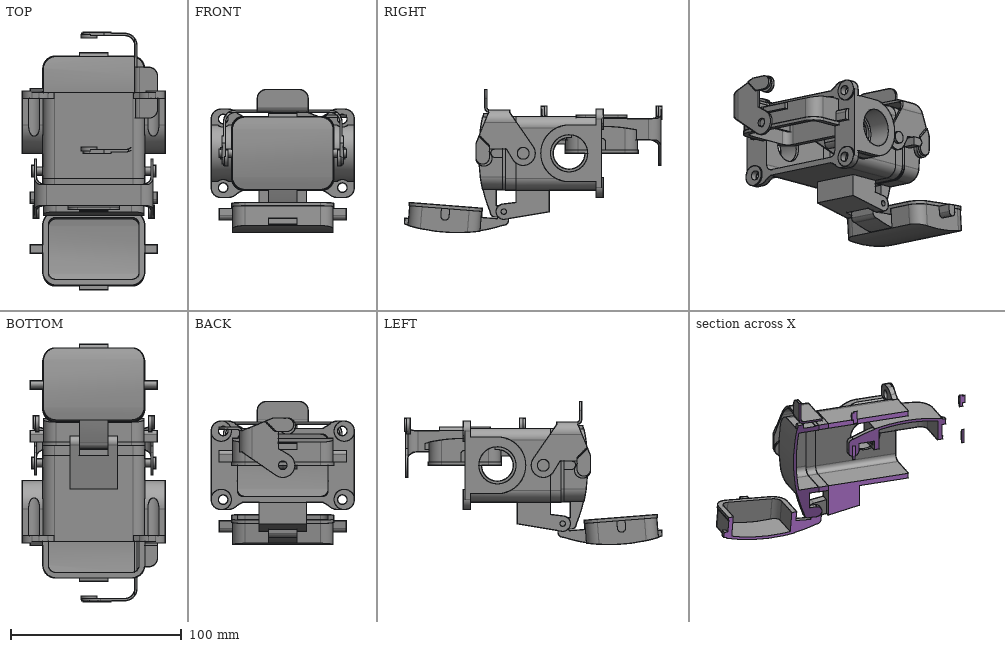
import cadquery as cq
import math


body_width = 59.8
body_height = 43.4
body_corner = 7.0
wall = 3.3
cut_margin = 1.5
housing_length = 50.2
overall_width = 84.0
half_width = overall_width / 2
entry_y = -19.0
entry_radius = 16.6
gland_bore = 21.8
gland_bore_depth = 13.6
entry_hole = 18.5

plate_thickness = 3.3
plate_half_height = 26.0
lug_diameter = 12.0
lug_radius = lug_diameter / 2
lug_standoff = 0.98
lug_x = half_width - lug_radius
lug_z = plate_half_height - lug_radius
lug_flat_end_x = 32.2
lug_arc_end = (26.7, 23.5)
lug_root = (23.0, 21.5)
mount_hole = 5.5
mount_x = 34.9
mount_z = 20.1
screw_clearance = 9.5

bracket_width = 28.0
bracket_rear_y = -30.5
bracket_bottom_z = -34.3
bracket_top_z = -28.7
hinge_y = -57.3
hinge_z = -34.2
hinge_radius = 4.5
hinge_hole = 3.2
hinge_slope = 9.8

pivot_y = -46.0
pivot_shaft = 5.0
pivot_head = 7.0
pivot_half_length = 36.4

frame_length = 6.0
mouth_y = -(housing_length + frame_length)

lid_width = body_width
lid_depth = 43.0
lid_corner = 7.7
rim_height = 2.0
rim_step = 0.38
crown_height = 15.9
crown_radius = 99.7
roof = 2.0
strip_width = 16.9
strip_radius = 90.7
tab_tip = 23.4
tab_bottom = 9.4
ear_span = 74.5
ear_diameter = 4.8
ear_top = 8.8
arm_underside = 5.5
arm_inner_end = -30.7
arm_outer_end = -37.3
arm_corner_start = 6.6
arm_corner_mid = (-36.4, 8.3)
arm_corner_end = -34.5
open_angle = 85.5

sheet = 1.44
lever_width = 69.7
lever_half_width = lever_width / 2
bail_top = 25.4
bail_bend = 7.3
bail_rear = -7.9
bail_front = -20.2
pivot_eye_radius = 7.1
notch_rear = -9.8
notch_top = 2.5
foot_rear = -19.8
foot_front = -27.7
foot_front_z = 5.9
foot_centre_z = -2.4
foot_top_z = 4.7
foot_ramp = 0.6
foot_step = 0.68
button_diameter = 9.5
button_y = -23.0
button_z = -2.7
button_gap = 63.9
button_thickness = 2.1
handle_width = 29.9
handle_front = -22.5
handle_top = 37.5
handle_corner = 5.5
handle_bend = 1.28


def rounded_prism(width, depth, radius, height):
    """Upright prism on Z = 0 with rounded vertical edges."""
    return cq.Workplane("XY").rect(width, depth).extrude(height).edges("|Z").fillet(radius)


def body_prism(inset, rear_y, length):
    """Length of the housing outline, inset by a wall, from rear_y towards -Y."""
    prism = rounded_prism(
        body_width - 2 * inset, body_height - 2 * inset, body_corner - inset, length
    )
    return prism.rotate((0, 0, 0), (1, 0, 0), 90).translate((0, rear_y, 0))


def x_rod(diameter, half_length, y, z=0):
    """Rod along X, centred on X = 0."""
    return cq.Workplane("YZ").center(y, z).circle(diameter / 2).extrude(half_length, both=True)


def y_rod(diameter, x, z, rear_y, front_y):
    """Rod along Y from rear_y forward to front_y."""
    rod = cq.Workplane("XZ", origin=(x, rear_y, z)).circle(diameter / 2)
    return rod.extrude(rear_y - front_y)


def mirror_z(shape):
    return shape.union(shape.mirror("XY"))


def mirror_x(shape):
    return shape.union(shape.mirror("YZ"))


def mounting_plate():
    diagonal = lug_radius * math.sqrt(0.5)
    dx = lug_flat_end_x - lug_arc_end[0]
    dz = plate_half_height - lug_arc_end[1]
    arc_radius = (dx**2 + dz**2) / (2 * dz)
    half_sweep = math.asin(dx / arc_radius) / 2
    arc_mid = (
        lug_flat_end_x - arc_radius * math.sin(half_sweep),
        plate_half_height - arc_radius * (1 - math.cos(half_sweep)),
    )
    quarter = (
        cq.Workplane("XZ")
        .moveTo(lug_root[0], 0)
        .lineTo(half_width, 0)
        .lineTo(half_width, lug_z)
        .threePointArc((lug_x + diagonal, lug_z + diagonal), (lug_x, plate_half_height))
        .lineTo(lug_flat_end_x, plate_half_height)
        .threePointArc(arc_mid, lug_arc_end)
        .lineTo(*lug_root)
        .close()
        .extrude(plate_thickness)
    )
    lug = y_rod(lug_diameter, lug_x, lug_z, lug_standoff, -plate_thickness)
    return mirror_x(mirror_z(quarter.union(lug)))


def cable_entries():
    block = cq.Workplane("XY").box(overall_width, -entry_y, 2 * entry_radius)
    block = block.translate((0, entry_y / 2, 0))
    return block.union(x_rod(2 * entry_radius, half_width, entry_y))


def hinge_bracket():
    slope = math.radians(hinge_slope)
    lower_tangent = (
        hinge_y + hinge_radius * math.sin(slope),
        hinge_z - hinge_radius * math.cos(slope),
    )
    upper_tangent = (
        hinge_y - hinge_radius * math.sin(slope),
        hinge_z + hinge_radius * math.cos(slope),
    )
    root_z = (wall - body_height) / 2
    bracket = (
        cq.Workplane("YZ")
        .moveTo(bracket_rear_y, root_z)
        .lineTo(bracket_rear_y, bracket_bottom_z)
        .lineTo(*lower_tangent)
        .threePointArc(
            (hinge_y - hinge_radius * math.cos(slope), hinge_z - hinge_radius * math.sin(slope)),
            upper_tangent,
        )
        .lineTo(-housing_length, bracket_top_z)
        .lineTo(-housing_length, root_z)
        .close()
        .extrude(bracket_width / 2, both=True)
    )
    slot_length = 2 * hinge_radius + abs(hinge_y) - housing_length
    slot = cq.Workplane("XY").box(strip_width, slot_length, body_height)
    slot = slot.translate((0, -housing_length - slot_length / 2, hinge_z))
    hole = x_rod(hinge_hole, bracket_width, hinge_y, hinge_z)
    return bracket.cut(slot).cut(hole)


def lever_pivots():
    shaft = x_rod(pivot_shaft, pivot_half_length, pivot_y)
    heads = x_rod(pivot_head, pivot_half_length, pivot_y)
    heads = heads.cut(x_rod(pivot_head, lever_half_width, pivot_y))
    return shaft.union(heads)


def build_housing():
    housing = body_prism(0, 0, housing_length)
    housing = housing.union(mounting_plate()).union(cable_entries()).union(lever_pivots())
    housing = housing.cut(body_prism(wall, cut_margin, housing_length + 2 * cut_margin))
    housing = housing.union(hinge_bracket())
    housing = housing.cut(x_rod(entry_hole, half_width, entry_y))
    gland = x_rod(gland_bore, half_width, entry_y).cut(
        x_rod(gland_bore, half_width - gland_bore_depth, entry_y)
    )
    housing = housing.cut(gland)
    for side_x in (-1, 1):
        for side_z in (-1, 1):
            x = side_x * mount_x
            z = side_z * mount_z
            housing = housing.cut(y_rod(mount_hole, x, z, lug_standoff, -plate_thickness))
            housing = housing.cut(
                y_rod(screw_clearance, x, z, -plate_thickness, entry_y - entry_radius)
            )
    return housing


def build_seal_frame():
    return body_prism(0, -housing_length, frame_length).cut(
        body_prism(wall, -housing_length, frame_length)
    )


def strip_top(y):
    """Height at y of the strip's arch, which falls away faster than the lid's crown."""
    return crown_height - strip_radius + math.sqrt(strip_radius**2 - y**2)


def under_arch(drop):
    """Everything below the arch that lies `drop` under the crown."""
    return x_rod(2 * (crown_radius - drop), half_width, 0, crown_height - crown_radius)


def lid_strip():
    """Narrow strip under the crown that carries the front tab and the hinge arm."""
    knuckle_z = mouth_y - hinge_y
    knuckle_y = hinge_z
    strip = (
        cq.Workplane("YZ")
        .moveTo(tab_tip, tab_bottom)
        .lineTo(tab_tip, strip_top(tab_tip))
        .threePointArc((0, crown_height), (arm_corner_end, strip_top(arm_corner_end)))
        .threePointArc(arm_corner_mid, (arm_outer_end, arm_corner_start))
        .lineTo(arm_outer_end, knuckle_z)
        .lineTo(arm_inner_end, knuckle_z)
        .lineTo(arm_inner_end, arm_underside)
        .lineTo(-lid_depth / 2, arm_underside)
        .lineTo(-lid_depth / 2, rim_height)
        .lineTo(0, rim_height)
        .lineTo(0, tab_bottom)
        .close()
        .extrude(strip_width / 2, both=True)
    )
    return strip.union(x_rod(arm_inner_end - arm_outer_end, strip_width / 2, knuckle_y, knuckle_z))


def lid_ears():
    radius = ear_diameter / 2
    return (
        cq.Workplane("YZ")
        .moveTo(-radius, rim_height)
        .lineTo(radius, rim_height)
        .lineTo(radius, ear_top - radius)
        .threePointArc((0, ear_top), (-radius, ear_top - radius))
        .close()
        .extrude(ear_span / 2, both=True)
    )


def build_lid():
    rim = rounded_prism(lid_width, lid_depth, lid_corner, rim_height)
    skirt = rounded_prism(
        lid_width - 2 * rim_step, lid_depth - 2 * rim_step, lid_corner - rim_step, crown_height
    )
    inside = rounded_prism(
        lid_width - 2 * wall, lid_depth - 2 * wall, lid_corner - wall, crown_height
    )
    lid = rim.union(skirt.intersect(under_arch(0))).union(lid_strip()).union(lid_ears())
    return lid.cut(inside.intersect(under_arch(roof)))


def tangent_point(y, z, radius, turn):
    """Where a line from (y, z) touches the circle about the origin; turn is +1 or -1."""
    angle = math.atan2(z, y) + turn * math.acos(radius / math.hypot(y, z))
    return (radius * math.cos(angle), radius * math.sin(angle))


def ramp_front_corner():
    """Where the 45 degree line that starts the foot meets the straight front edge of the arm."""
    edge_top_z = bail_top - sheet
    slope = (foot_front - bail_front) / (foot_front_z - edge_top_z)
    rise = (foot_rear - bail_front - slope * (foot_top_z - edge_top_z)) / (1 + slope)
    return (foot_rear - rise, foot_top_z + rise)


def bail_and_arms():
    """Sheet bent to a U over the housing, trimmed to the side outline of the arms."""
    depth = 2 * lever_half_width
    outer = cq.Workplane("XZ").rect(lever_width, 2 * bail_top)
    outer = outer.extrude(depth, both=True).edges("|Y").fillet(bail_bend)
    inner = cq.Workplane("XZ").rect(lever_width - 2 * sheet, 2 * (bail_top - sheet))
    inner = inner.extrude(depth, both=True).edges("|Y").fillet(bail_bend - sheet)
    rear_tangent = tangent_point(bail_rear, bail_top - sheet, pivot_eye_radius, -1)
    front_tangent = tangent_point(notch_rear, notch_top, pivot_eye_radius, 1)
    eye_diagonal = pivot_eye_radius * math.sqrt(0.5)
    side_outline = (
        cq.Workplane("YZ")
        .moveTo(bail_rear, bail_top)
        .lineTo(bail_front, bail_top)
        .lineTo(bail_front, bail_top - sheet)
        .lineTo(*ramp_front_corner())
        .lineTo(foot_rear, foot_top_z)
        .lineTo(foot_rear, notch_top)
        .lineTo(notch_rear, notch_top)
        .lineTo(*front_tangent)
        .threePointArc((eye_diagonal, -eye_diagonal), rear_tangent)
        .lineTo(bail_rear, bail_top - sheet)
        .close()
        .extrude(lever_half_width, both=True)
    )
    return outer.cut(inner).intersect(side_outline)


def foot_outline():
    """Side outline of the foot as a prism along +X, rounded at its lower end."""
    radius = (foot_rear - foot_front) / 2
    return (
        cq.Workplane("YZ")
        .moveTo(*ramp_front_corner())
        .lineTo(foot_front, foot_front_z)
        .lineTo(foot_front, foot_centre_z)
        .threePointArc((foot_rear - radius, foot_centre_z - radius), (foot_rear, foot_centre_z))
        .lineTo(foot_rear, foot_top_z)
        .close()
        .extrude(half_width)
    )


def lever_foot():
    """Foot on the +X arm: thickened outwards past a 45 degree ramp, with a round button inside."""
    ramp_plane = cq.Plane(origin=(0, foot_rear, foot_top_z), xDir=(0, -1, -1), normal=(0, -1, 1))
    inner_x = lever_half_width - sheet
    reach = 2 * button_diameter
    pad = (
        cq.Workplane(ramp_plane)
        .moveTo(0, inner_x)
        .lineTo(reach, inner_x)
        .lineTo(reach, lever_half_width + foot_step)
        .lineTo(foot_ramp, lever_half_width + foot_step)
        .lineTo(0, lever_half_width)
        .close()
        .extrude(reach, both=True)
    )
    button = (
        cq.Workplane("YZ", origin=(button_gap / 2, button_y, button_z))
        .circle(button_diameter / 2)
        .extrude(button_thickness)
    )
    return pad.intersect(foot_outline()).union(button)


def lever_handle():
    """Upright grip that curls up from the front edge of the bail."""
    outer_bend = handle_bend + sheet
    bend_y = handle_front + outer_bend
    bend_z = bail_top + handle_bend
    diagonal = math.sqrt(0.5)
    strip = (
        cq.Workplane("YZ")
        .moveTo(bend_y, bail_top)
        .lineTo(bend_y, bail_top - sheet)
        .threePointArc(
            (bend_y - outer_bend * diagonal, bend_z - outer_bend * diagonal),
            (handle_front, bend_z),
        )
        .lineTo(handle_front, handle_top)
        .lineTo(handle_front + sheet, handle_top)
        .lineTo(handle_front + sheet, bend_z)
        .threePointArc(
            (bend_y - handle_bend * diagonal, bend_z - handle_bend * diagonal),
            (bend_y, bail_top),
        )
        .close()
        .extrude(handle_width / 2, both=True)
    )
    behind_bail_edge = cq.Workplane("XY").box(handle_width, sheet, handle_top)
    behind_bail_edge = behind_bail_edge.translate((0, bail_front + sheet / 2, bail_top))
    return strip.cut(behind_bail_edge).edges("|Y and >Z").fillet(handle_corner)


def build_lever():
    lever = bail_and_arms().union(mirror_x(lever_foot())).union(lever_handle())
    return lever.cut(x_rod(pivot_shaft, half_width, 0))


x_axis = ((0, 0, 0), (1, 0, 0))
y_axis = ((0, 0, 0), (0, 1, 0))
hinge_axis = ((0, hinge_y, hinge_z), (1, hinge_y, hinge_z))

lever = build_lever()
closed_lever = lever.translate((0, pivot_y, 0))
loose_lever = lever.rotate(*y_axis, 90).rotate(*x_axis, -90)

lid = build_lid()
closed_lid = lid.rotate(*x_axis, 90).translate((0, mouth_y, 0))
open_lid = closed_lid.rotate(*hinge_axis, open_angle).cut(closed_lid)
closed_lid = closed_lid.cut(closed_lever)
loose_lid = lid.cut(loose_lever)

housing = build_housing()
seal_frame = build_seal_frame()
for other in (closed_lid, open_lid, loose_lid, closed_lever, loose_lever):
    housing = housing.cut(other)

result = cq.Compound.makeCompound(
    [
        housing.val(),
        seal_frame.val(),
        closed_lid.val(),
        open_lid.val(),
        loose_lid.val(),
        closed_lever.val(),
        loose_lever.val(),
    ]
)